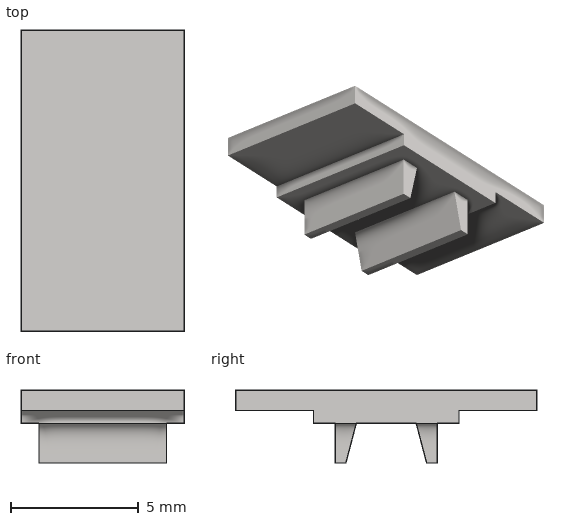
import cadquery as cq

plate_width = 6.4
plate_length = 11.8
plate_thickness = 0.8

pad_length = 5.7
pad_thickness = 0.5

total_height = 2.86
leg_height = total_height - plate_thickness - pad_thickness
leg_width = 5.0
leg_span = 4.0
leg_root_thickness = 0.83
leg_tip_thickness = 0.42

pad_bottom = leg_height
plate_bottom = pad_bottom + pad_thickness


def slab(length, thickness, bottom):
    """Rectangular slab of the full plate width, centred in X and Y."""
    return (
        cq.Workplane("XY")
        .workplane(offset=bottom)
        .rect(plate_width, length)
        .extrude(thickness)
    )


def leg(side):
    """Leg on the +Y (side=1) or -Y (side=-1) half: upright outer face, sloping inner face."""
    outer = leg_span / 2
    profile = [
        (side * outer, pad_bottom),
        (side * outer, 0),
        (side * (outer - leg_tip_thickness), 0),
        (side * (outer - leg_root_thickness), pad_bottom),
    ]
    return cq.Workplane("YZ").polyline(profile).close().extrude(leg_width / 2, both=True)


result = slab(plate_length, plate_thickness, plate_bottom)
result = result.union(slab(pad_length, pad_thickness, pad_bottom))
for side in (-1, 1):
    result = result.union(leg(side))